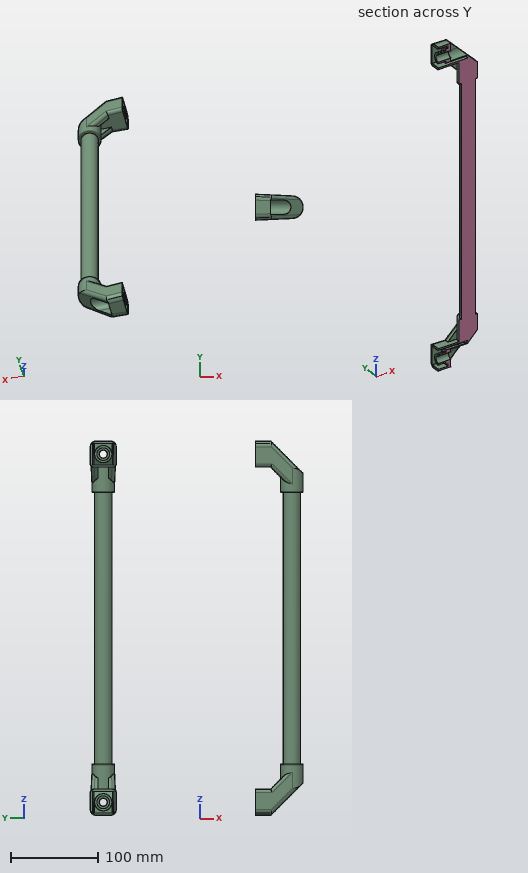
import cadquery as cq
import math

total_height = 430.0
foot_size = 30.0
half_foot = foot_size / 2
reach = 55.0

rod_diameter = 20.0
collar_diameter = 26.2
collar_end = 59.0
collar_edge_round = 1.0
collar_radius = collar_diameter / 2
rod_axis_x = reach - collar_radius

foot_depth = 17.5
arm_run = rod_axis_x - foot_depth
outer_foot_round = 7.0
outer_arm_round = 4.5
inner_round = 4.0
notch_width = 12.0

screw_z = half_foot
screw_hole_diameter = 9.0
access_radius = 8.0
access_wall = 1.7
seat_radius = access_radius + access_wall
seat_thickness = 4.5
seat_step_height = 2.5
boss_diameter = 14.5

hollow_wall = 2.8

margin = 43.0


def tangent_point():
    """Point where a side of the bracket, drawn from a foot corner, touches the collar."""
    corner_distance = math.hypot(rod_axis_x, half_foot)
    angle = math.atan2(half_foot, -rod_axis_x) - math.acos(collar_radius / corner_distance)
    return rod_axis_x + collar_radius * math.cos(angle), collar_radius * math.sin(angle)


def side_y(x):
    """Distance of the tapering side faces from the middle plane."""
    touch_x, touch_y = tangent_point()
    return half_foot - (half_foot - touch_y) * x / touch_x


def tapered_plan(wall, end_x):
    """Corners of the tapering plan out to end_x, set in from the side faces by a wall."""
    start_y = side_y(0) - wall
    end_y = side_y(end_x) - wall
    return [(0, start_y), (0, -start_y), (end_x, -end_y), (end_x, end_y)]


def vertical_prism(outline, start_z=0):
    """XY outline extruded from start_z to the end of the collar."""
    base = cq.Workplane("XY", origin=(0, 0, start_z))
    return base.polyline(outline).close().extrude(collar_end - start_z)


def full_plan_prism():
    """Tapering sides closed by the round of the collar, as a prism."""
    touch_x, touch_y = tangent_point()
    return (
        cq.Workplane("XY")
        .moveTo(touch_x, touch_y)
        .lineTo(0, half_foot)
        .lineTo(0, -half_foot)
        .lineTo(touch_x, -touch_y)
        .threePointArc((reach, 0), (touch_x, touch_y))
        .close()
        .extrude(collar_end)
    )


def sideways_prism(outline, width):
    """XZ outline extruded to the given width, centred on the middle plane of the bracket."""
    return cq.Workplane("XZ").polyline(outline).close().extrude(width / 2, both=True)


def x_cylinder(radius, start_x, end_x):
    """Cylinder on the screw axis."""
    return cq.Workplane("YZ", origin=(start_x, 0, screw_z)).circle(radius).extrude(end_x - start_x)


def outer_envelope():
    """Space inside the outer faces of the foot and arm, with their long edges rounded."""
    foot_side = full_plan_prism().faces("<Z").edges("not(<X or >X)").fillet(outer_foot_round)
    end_x = reach + margin
    arm_wedge = vertical_prism(tapered_plan(0, end_x), -margin)
    inside_slope = sideways_prism(
        [
            (-margin, -margin - foot_depth),
            (end_x, end_x - foot_depth),
            (end_x, end_x),
            (-margin, end_x),
        ],
        2 * foot_size,
    )
    arm_side = arm_wedge.intersect(inside_slope)
    arm_side = arm_side.faces("|(1, 0, -1)").edges("not |Y").fillet(outer_arm_round)
    return foot_side.intersect(arm_side)


def inner_side():
    """Foot and arm below their rounded inner faces, with the notch between the two webs."""
    below_inner_faces = sideways_prism(
        [
            (0, 0),
            (reach, 0),
            (reach, foot_size + reach - foot_depth),
            (foot_depth, foot_size),
            (0, foot_size),
        ],
        2 * foot_size,
    )
    body = vertical_prism(tapered_plan(0, tangent_point()[0])).intersect(below_inner_faces)
    body = body.edges("not(|Y or |Z or <Z)").fillet(inner_round)
    notch = (
        cq.Workplane("XY", origin=(rod_axis_x, 0, foot_size))
        .rect(2 * arm_run, notch_width)
        .extrude(collar_end)
    )
    return body.cut(notch)


def collar():
    """Round socket around the end of the rod, with its rim eased."""
    cylinder = cq.Workplane("XY").center(rod_axis_x, 0).circle(collar_radius).extrude(collar_end)
    return cylinder.faces(">Z").edges().fillet(collar_edge_round)


def slot_shape(radius, start_x):
    """Space around the screw axis, round on the inner side and straight to the outer side."""
    straight_part = (
        cq.Workplane("XY")
        .moveTo(start_x, -radius)
        .lineTo(reach, -radius)
        .lineTo(reach, radius)
        .lineTo(start_x, radius)
        .close()
        .extrude(screw_z)
    )
    return x_cylinder(radius, start_x, reach).union(straight_part)


def hollow():
    """Space inside the foot and arm, around the screw boss and the walls of the access slot."""
    wall_shift = foot_depth - hollow_wall * math.sqrt(2)
    low_z = hollow_wall
    high_z = foot_size - hollow_wall
    profile = sideways_prism(
        [
            (0, low_z),
            (low_z + wall_shift, low_z),
            (high_z + wall_shift, high_z),
            (0, high_z),
        ],
        foot_size,
    )
    space = profile.intersect(vertical_prism(tapered_plan(hollow_wall, reach)))
    boss = x_cylinder(boss_diameter / 2, 0, foot_depth)
    seat_x = foot_depth - seat_thickness
    seat_step = x_cylinder(seat_radius, seat_x - seat_step_height, foot_depth)
    slot_walls = slot_shape(seat_radius, seat_x)
    return space.cut(boss).cut(seat_step).cut(slot_walls)


def lower_bracket():
    """Whole bracket at the bottom end of the rod."""
    body = inner_side().union(collar()).intersect(outer_envelope())
    body = body.cut(hollow())
    body = body.cut(slot_shape(access_radius, foot_depth))
    return body.cut(x_cylinder(screw_hole_diameter / 2, 0, foot_depth))


def rod():
    """Round bar between the ends of the two collars."""
    rod_length = total_height - 2 * collar_end
    base = cq.Workplane("XY", origin=(rod_axis_x, 0, collar_end))
    return base.circle(rod_diameter / 2).extrude(rod_length)


bottom = lower_bracket()
top = bottom.mirror("XY", (0, 0, total_height / 2))
result = bottom.union(rod()).union(top)